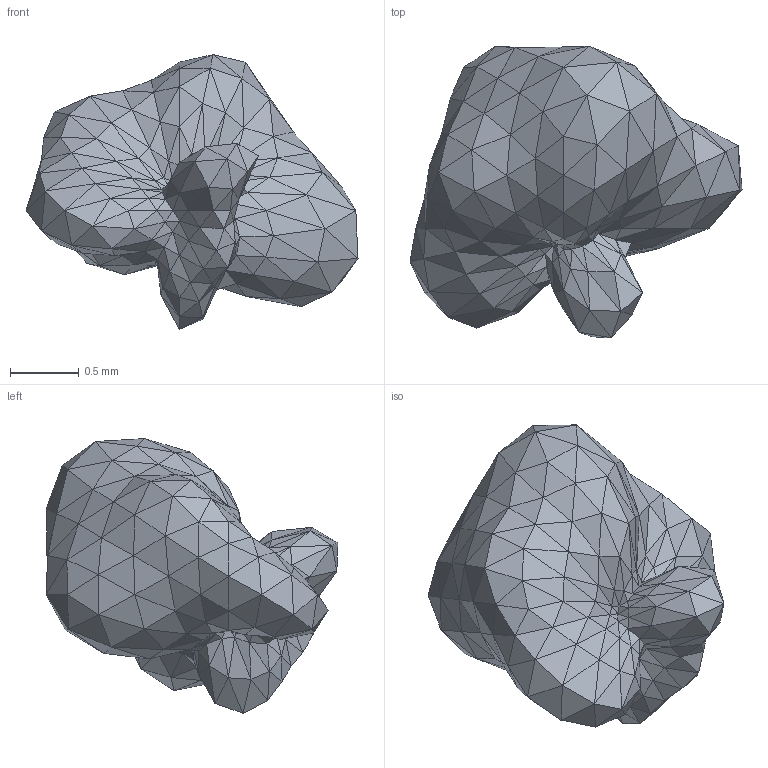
import cadquery as cq
import math


BASE_RADIUS = 0.127
SMALLEST_RADIUS = 0.05
SPLITS = 5
GOLDEN = (1 + math.sqrt(5)) / 2

LOBES = [
    (72, 41, 1.05, 0.39),
    (14, 78, 0.68, 0.34),
    (155, 41.5, 0.82, 0.39),
    (109, -13.5, 1.60, 0.545),
    (12, 13, 1.09, 0.495),
    (20.5, -30, 0.97, 0.425),
    (-161, 0, 1.12, 0.46),
    (-125, -13.5, 0.85, 0.345),
    (-73, 23, 1.27, 0.40),
    (-35, 35, 0.98, 0.265),
    (-42, 9, 0.16, 0.26),
    (-62, -28, 1.14, 0.39),
    (-101.5, -58.5, 0.77, 0.355),
    (15.5, -79.5, 1.00, 0.345),
    (-88, -28, -0.90, 0.865),
    (-24, 38, -0.90, 0.42),
    (93, -31.5, -0.72, 0.405),
    (20.5, -66.5, -0.47, 0.26),
]


def direction(azimuth, elevation):
    """Unit vector at the given angles in degrees."""
    a = math.radians(azimuth)
    e = math.radians(elevation)
    return cq.Vector(math.cos(e) * math.cos(a), math.cos(e) * math.sin(a), math.sin(e))


LOBE_SHAPES = [(direction(a, e), height, spread) for a, e, height, spread in LOBES]


def surface_radius(ray):
    """Distance from the origin to the surface along a unit ray."""
    radius = BASE_RADIUS
    for axis, height, spread in LOBE_SHAPES:
        radius += height * math.exp((ray.dot(axis) - 1) / spread**2)
    return max(radius, SMALLEST_RADIUS)


def icosahedron():
    """Faces of an icosahedron, each as three corners turning outward."""
    corners = []
    for one in (1, -1):
        for golden in (GOLDEN, -GOLDEN):
            corners.append(cq.Vector(0, one, golden))
            corners.append(cq.Vector(one, golden, 0))
            corners.append(cq.Vector(golden, 0, one))
    edge_length = 2
    diagonal = edge_length * GOLDEN
    edge_limit = (edge_length + diagonal) / 2

    def joined(p, q):
        return (p - q).Length < edge_limit

    faces = []
    for i, a in enumerate(corners):
        for j in range(i + 1, len(corners)):
            for k in range(j + 1, len(corners)):
                b = corners[j]
                c = corners[k]
                if joined(a, b) and joined(b, c) and joined(c, a):
                    outward = (b - a).cross(c - a).dot(a) > 0
                    faces.append((a, b, c) if outward else (a, c, b))
    return faces


def surface_point(a, b, c, i, j):
    """Surface corner i steps toward b and j steps toward c on the face a, b, c."""
    ray = (a * (SPLITS - i - j) + b * i + c * j).normalized()
    return ray * surface_radius(ray)


def facet(p, q, r):
    return cq.Face.makeFromWires(cq.Wire.makePolygon([p, q, r], close=True))


def split_face(a, b, c):
    """Flat facets that replace one icosahedron face."""
    points = {}
    for i in range(SPLITS + 1):
        for j in range(SPLITS + 1 - i):
            points[i, j] = surface_point(a, b, c, i, j)
    facets = []
    for i in range(SPLITS):
        for j in range(SPLITS - i):
            facets.append(facet(points[i, j], points[i + 1, j], points[i, j + 1]))
            if i + j < SPLITS - 1:
                facets.append(facet(points[i + 1, j], points[i + 1, j + 1], points[i, j + 1]))
    return facets


def lobed_body():
    facets = []
    for a, b, c in icosahedron():
        facets.extend(split_face(a, b, c))
    return cq.Solid.makeSolid(cq.Shell.makeShell(facets))


result = cq.Workplane(obj=lobed_body())